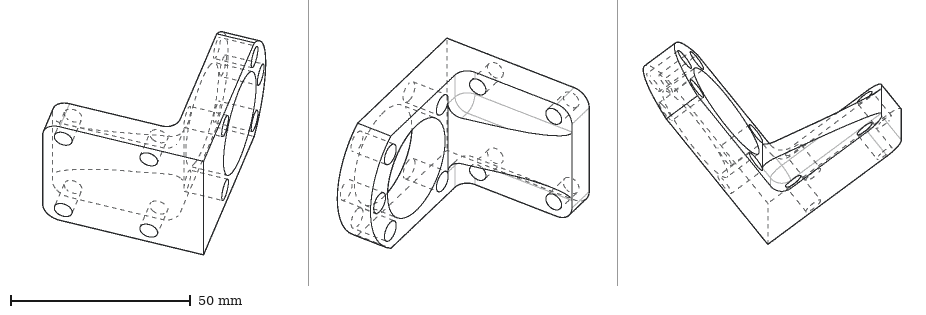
import cadquery as cq
import math


length = 47.03
height = 39.4

plate_thickness = 9.0
plate_corner_radius = 5.0
screw_hole_diameter = 5.2
screw_hole_inset = 6.0
screw_spacing_x = 25.0
screw_spacing_z = 30.0

upright_thickness = 11.0
ring_center_y = 33.0
ring_outer_radius = 23.7
bore_diameter = 29.73
bolt_circle_radius = 19.0
bolt_hole_diameter = 6.1
bolt_hole_angles = (45, 135, 180, 225, 315)

rib_width = 16.0
rib_slope_angle = 12.0
inner_fillet_radius = 4.0

upright_face_x = length - upright_thickness
rib_rise = upright_face_x * math.tan(math.radians(rib_slope_angle))
rib_block_height = rib_rise + inner_fillet_radius


def make_plate():
    plate = cq.Workplane("XY").box(
        length, plate_thickness, height, centered=(False, False, True)
    )
    return plate.edges("|Y and <X").fillet(plate_corner_radius)


def make_upright():
    """Rectangle whose far end is rounded concentric with the bore."""
    half_height = height / 2
    arc_start_y = ring_center_y + math.sqrt(ring_outer_radius**2 - half_height**2)
    tip_y = ring_center_y + ring_outer_radius
    return (
        cq.Workplane("YZ", origin=(upright_face_x, 0, 0))
        .moveTo(0, -half_height)
        .lineTo(arc_start_y, -half_height)
        .threePointArc((tip_y, 0), (arc_start_y, half_height))
        .lineTo(0, half_height)
        .close()
        .extrude(upright_thickness)
    )


def make_rib_block():
    """Straight block, taller than the finished rib so that it can be filleted first."""
    return cq.Workplane("XY", origin=(0, plate_thickness, 0)).box(
        upright_face_x, rib_block_height, rib_width, centered=(False, False, True)
    )


def is_inside_corner(edge):
    """True where two of these faces meet: plate top, upright face, rib side."""
    center = edge.Center()
    tolerance = 0.01
    on_plate = abs(center.y - plate_thickness) < tolerance
    on_upright = abs(center.x - upright_face_x) < tolerance
    on_rib_side = abs(abs(center.z) - rib_width / 2) < tolerance
    return (on_plate and on_upright) or (on_rib_side and (on_plate or on_upright))


def fillet_inside_corners(body):
    """Round the corners between plate, upright and rib."""
    return body.edges().filter(is_inside_corner).fillet(inner_fillet_radius)


def make_slope_cutter():
    """Wedge of space above the sloped rib face, up to the top of the rib block."""
    top_y = plate_thickness + rib_block_height
    return (
        cq.Workplane("XY")
        .moveTo(0, plate_thickness)
        .lineTo(upright_face_x, plate_thickness + rib_rise)
        .lineTo(upright_face_x, top_y)
        .lineTo(0, top_y)
        .close()
        .extrude(height / 2, both=True)
    )


def make_screw_holes():
    center_x = screw_hole_inset + screw_spacing_x / 2
    hole_length = plate_thickness + inner_fillet_radius
    return (
        cq.Workplane("XZ", origin=(center_x, 0, 0))
        .rarray(screw_spacing_x, screw_spacing_z, 2, 2)
        .circle(screw_hole_diameter / 2)
        .extrude(-hole_length)
    )


def make_bore_and_bolt_holes():
    upright_plane = cq.Workplane("YZ", origin=(upright_face_x, ring_center_y, 0))
    cutters = upright_plane.circle(bore_diameter / 2).extrude(upright_thickness)
    for angle in bolt_hole_angles:
        y = -bolt_circle_radius * math.cos(math.radians(angle))
        z = bolt_circle_radius * math.sin(math.radians(angle))
        hole = upright_plane.center(y, z).circle(bolt_hole_diameter / 2).extrude(upright_thickness)
        cutters = cutters.union(hole)
    return cutters


bracket = make_plate().union(make_upright()).union(make_rib_block())
bracket = fillet_inside_corners(bracket)
bracket = bracket.cut(make_slope_cutter())
bracket = bracket.cut(make_screw_holes())
result = bracket.cut(make_bore_and_bolt_holes())